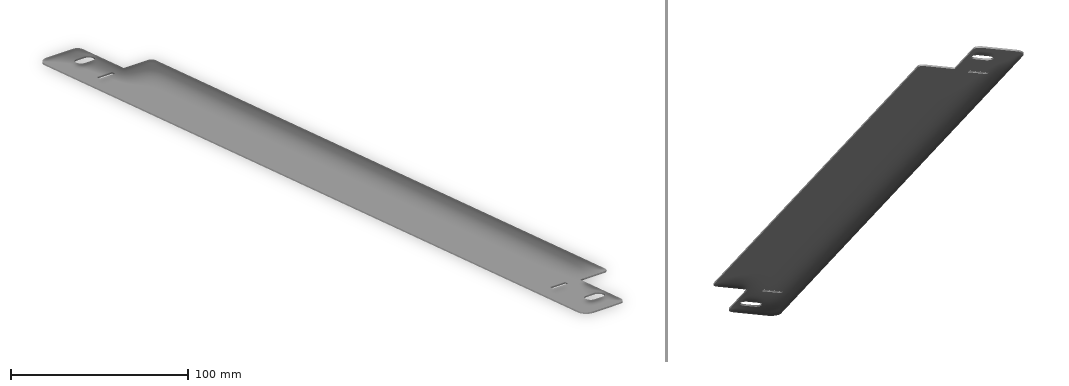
import cadquery as cq

length = 477.0
depth = 51.0
thickness = 1.0

body_length = 398.0
tab_depth = 30.0
body_corner_radius = 3.0
tab_back_radius = 4.0
tab_front_radius = 6.0

mount_width = 7.0
mount_length = 13.0
mount_end_distance = 16.0
mount_front_distance = 21.0

slit_width = 3.0
slit_length = 11.5
slit_front_distance = 15.7

front_y = -depth / 2
tab_center_y = front_y + tab_depth / 2


def make_plate():
    """Join the full-length strip and the deeper body, each with rounded corners."""
    strip = cq.Workplane("XY").center(0, tab_center_y).box(length, tab_depth, thickness)
    strip = strip.edges("|Z and <Y").fillet(tab_front_radius)
    strip = strip.edges("|Z and >Y").fillet(tab_back_radius)
    body = cq.Workplane("XY").box(body_length, depth, thickness)
    body = body.edges("|Z and >Y").fillet(body_corner_radius)
    return strip.union(body).clean()


def cut_mounting_slots(plate):
    x = length / 2 - mount_end_distance
    y = front_y + mount_front_distance
    return (
        plate.faces(">Z").workplane(origin=(0, 0, 0))
        .pushPoints([(-x, y), (x, y)])
        .slot2D(mount_length, mount_width, 90)
        .cutThruAll()
    )


def cut_slits(plate):
    x = (body_length - slit_width) / 2
    y = front_y + slit_front_distance
    return (
        plate.faces(">Z").workplane(origin=(0, 0, 0))
        .pushPoints([(-x, y), (x, y)])
        .rect(slit_width, slit_length)
        .cutThruAll()
    )


result = cut_slits(cut_mounting_slots(make_plate()))